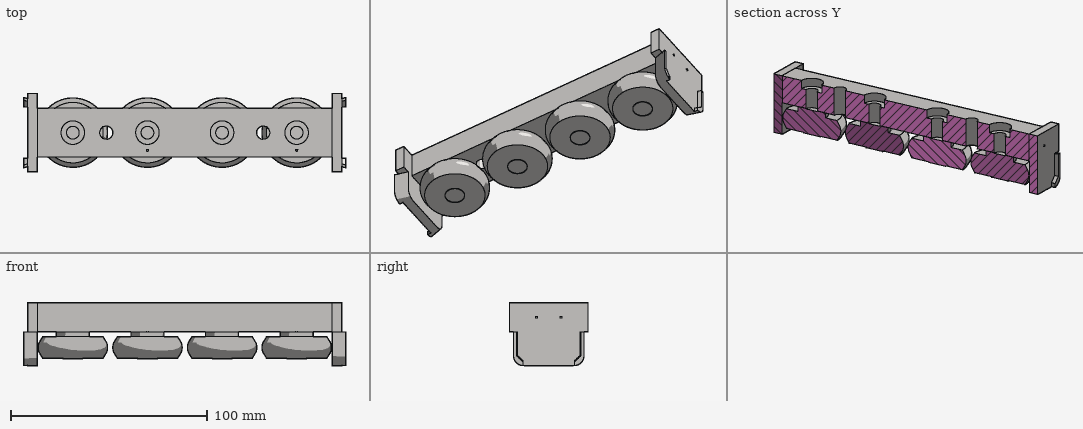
import cadquery as cq

bar_length = 150.0
bar_width = 25.0
bar_height = 15.0
mount_hole_diameter = 6.65
mount_hole_spacing = 80.0
oil_hole_diameter = 1.0
oil_hole_offset = 9.0
counterbore_diameter = 12.0
counterbore_depth = 4.4
stud_hole_diameter = 6.5

roller_count = 4
roller_pitch = 38.0
boss_diameter = 17.0
boss_height = 2.4
roller_height = 11.0
roller_radius = 17.75
rim_edge_radius = 17.25
rim_width = 5.0
face_radius = 15.4
nub_diameter = 10.0
nub_height = 0.3

cap_thickness = 5.0
plate_width = 40.0
cap_height = 32.2
lip_reach = 2.0
lip_thickness = 1.5
apron_width_inner = 31.6
apron_width_outer = 36.0
apron_corner_radius = 5.0
notch_width = 26.0
notch_height = 2.2
recess_chamfer = 3.0
cap_hole_diameter = 1.0
cap_hole_spacing = bar_width / 2
cap_hole_depth_below_top = bar_height / 2

roller_positions = [(i - (roller_count - 1) / 2) * roller_pitch for i in range(roller_count)]


def make_bar():
    body = cq.Workplane("XY").box(bar_length, bar_width, bar_height, centered=(True, True, False))
    body = body.translate((0, 0, -bar_height))
    top = body.faces(">Z").workplane(origin=(0, 0, 0))
    body = top.pushPoints([(x, 0) for x in roller_positions]).cboreHole(
        stud_hole_diameter, counterbore_diameter, counterbore_depth
    )
    top = body.faces(">Z").workplane(origin=(0, 0, 0))
    body = top.rarray(mount_hole_spacing, 1, 2, 1).hole(mount_hole_diameter)
    top = body.faces(">Z").workplane(origin=(0, 0, 0))
    return top.pushPoints([(x, -oil_hole_offset) for x in roller_positions[1::2]]).hole(oil_hole_diameter)


def make_roller(x):
    boss_radius = boss_diameter / 2
    nub_radius = nub_diameter / 2
    face_top = -bar_height - boss_height
    face_bottom = face_top - roller_height
    middle = (face_top + face_bottom) / 2
    rim_top = middle + rim_width / 2
    rim_bottom = middle - rim_width / 2
    nub_bottom = face_bottom - nub_height
    half_section = (
        cq.Workplane("XZ")
        .moveTo(0, -bar_height)
        .lineTo(boss_radius, -bar_height)
        .lineTo(boss_radius, face_top)
        .lineTo(face_radius, face_top)
        .lineTo(rim_edge_radius, rim_top)
        .threePointArc((roller_radius, middle), (rim_edge_radius, rim_bottom))
        .lineTo(face_radius, face_bottom)
        .lineTo(nub_radius, face_bottom)
        .lineTo(nub_radius, nub_bottom)
        .lineTo(0, nub_bottom)
        .close()
    )
    return half_section.revolve(360, (0, 0, 0), (0, 1, 0)).translate((x, 0, 0))


def flared_block(x_start, half_start, x_end, half_end, z_bottom):
    """Block below the plate whose two side faces flare outwards with X."""
    outline = [(x_start, -half_start), (x_end, -half_end), (x_end, half_end), (x_start, half_start)]
    sketch = cq.Workplane("XY", origin=(0, 0, z_bottom)).polyline(outline).close()
    return sketch.extrude(-bar_height - z_bottom)


def make_cap():
    """Cap at the +X end of the bar."""
    inner_x = bar_length / 2
    face_x = inner_x + cap_thickness
    lip_x = face_x + lip_reach
    half_inner = apron_width_inner / 2
    half_outer = apron_width_outer / 2
    flare = (half_outer - half_inner) / (lip_x - inner_x)

    plate = cq.Workplane("XY").box(cap_thickness, plate_width, bar_height, centered=(False, True, False))
    plate = plate.translate((inner_x, 0, -bar_height))

    apron = flared_block(inner_x, half_inner, lip_x, half_outer, -cap_height)
    apron = apron.edges("<Z").edges("<Y or >Y").fillet(apron_corner_radius)

    recess_half_outer = half_outer - lip_thickness
    recess_half_face = recess_half_outer - flare * lip_reach
    recess = flared_block(face_x, recess_half_face, lip_x, recess_half_outer, notch_height - cap_height)
    recess = recess.edges("<Z").edges("<Y or >Y").chamfer(recess_chamfer)
    apron_height = cap_height - bar_height
    notch = cq.Workplane("XY").box(lip_reach, notch_width, apron_height, centered=(False, True, False))
    notch = notch.translate((face_x, 0, -cap_height))
    apron = apron.cut(recess).cut(notch)

    holes = (
        cq.Workplane("YZ", origin=(inner_x, 0, -cap_hole_depth_below_top))
        .rarray(cap_hole_spacing, 1, 2, 1)
        .circle(cap_hole_diameter / 2)
        .extrude(cap_thickness)
    )
    return plate.union(apron).cut(holes)


bar = make_bar()
rollers = [make_roller(x) for x in roller_positions]
right_cap = make_cap()
left_cap = right_cap.rotate((0, 0, 0), (0, 0, 1), 180)

result = cq.Compound.makeCompound(
    [bar.val(), *[roller.val() for roller in rollers], left_cap.val(), right_cap.val()]
)